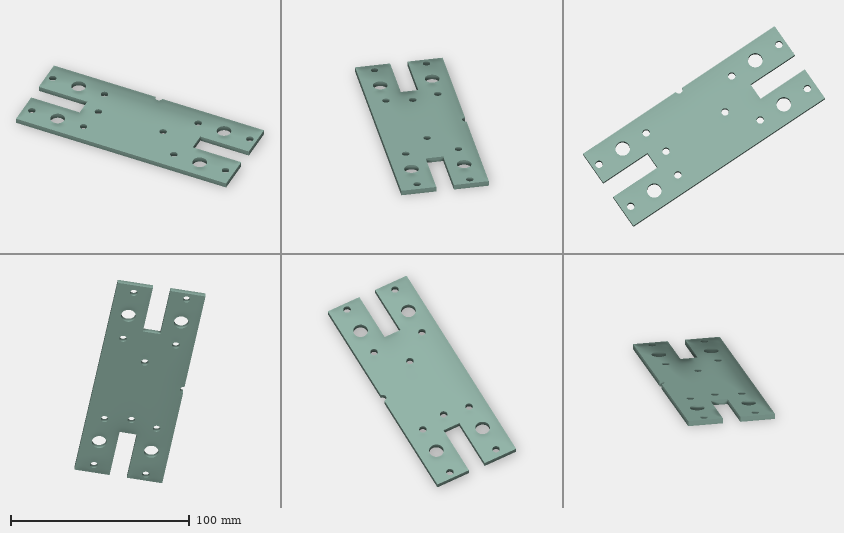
import cadquery as cq

length = 130.0
width = 50.0
thickness = 3.0

slot_depth = 30.0
slot_width = 10.0

small_diameter = 4.2
large_diameter = 8.2
row_offset = 15.0
hole_pitch = 16.0
back_large_x = 45.0
front_large_x = 44.0
middle_left_x = -25.7
middle_spacing = 40.0


def through_holes(points, diameter):
    """Cylinders that pass through the full plate thickness."""
    return cq.Workplane("XY").pushPoints(points).circle(diameter / 2).extrude(thickness)


plate = cq.Workplane("XY").box(length, width, thickness, centered=(True, True, False))

slot_center_x = (length - slot_depth) / 2
slots = (
    cq.Workplane("XY")
    .pushPoints([(-slot_center_x, 0), (slot_center_x, 0)])
    .rect(slot_depth, slot_width)
    .extrude(thickness)
)

large_points = []
small_points = []
for row_y, large_x in ((row_offset, back_large_x), (-row_offset, front_large_x)):
    for side in (-1, 1):
        large_points.append((side * large_x, row_y))
        small_points.append((side * (large_x - hole_pitch), row_y))
        small_points.append((side * (large_x + hole_pitch), row_y))

small_points.append((middle_left_x, 0))
small_points.append((middle_left_x + middle_spacing, 0))

notch_points = [(0, width / 2)]

result = (
    plate.cut(slots)
    .cut(through_holes(large_points, large_diameter))
    .cut(through_holes(small_points, small_diameter))
    .cut(through_holes(notch_points, small_diameter))
)